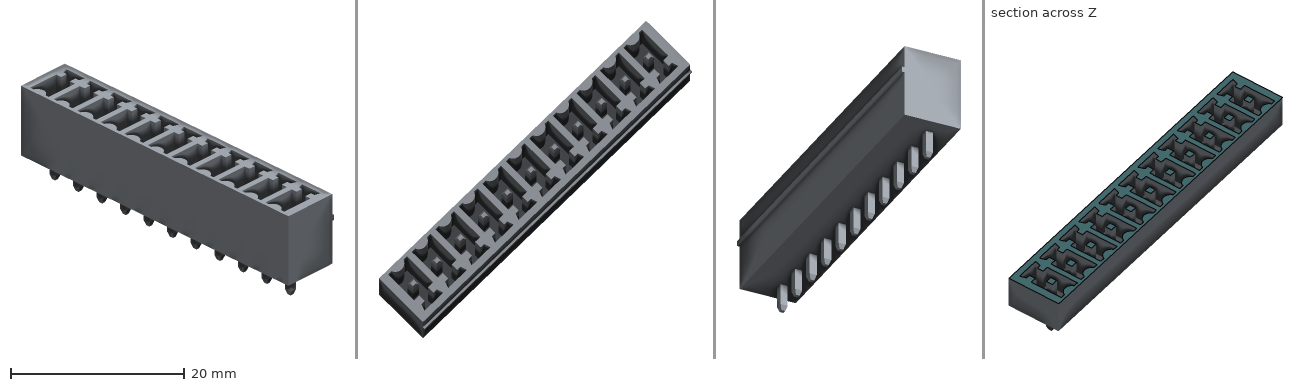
import cadquery as cq

length = 43.3
body_depth = 7.25
body_height = 9.25

rib_projection = 0.3
rib_height = 0.7
rib_drop = 2.85

contact_count = 11
pitch = 3.8
pin_y = 3.0
pin_width = 0.9
pin_tip_width = 0.48
pin_taper = 0.65
pin_below = 3.35
pin_top_drop = 1.4

floor_thickness = 1.5
cavity_width = 3.05
front_wall = 0.45
shoulder_y = 4.7
neck_width = 1.45
neck_end_y = 5.65
dovetail_width = 2.5
cavity_back_y = 6.4

key_radius = 1.05
key_crown_y = 1.1


def make_housing():
    body = cq.Workplane("XY").box(length, body_depth, body_height, centered=(True, False, False))
    rib = (
        cq.Workplane("XY")
        .box(length, rib_projection, rib_height, centered=(True, False, False))
        .translate((0, body_depth, body_height - rib_drop - rib_height))
    )
    return body.union(rib)


def make_cavity():
    """Keyhole-shaped plug cavity: wide chamber, narrow neck and dovetail slot, less the key."""
    half_profile = [
        (cavity_width / 2, front_wall),
        (cavity_width / 2, shoulder_y),
        (neck_width / 2, shoulder_y),
        (neck_width / 2, neck_end_y),
        (dovetail_width / 2, neck_end_y),
        (cavity_width / 2, cavity_back_y),
    ]
    mirrored_profile = [(-x, y) for x, y in reversed(half_profile)]
    cavity_depth = body_height - floor_thickness
    floor = cq.Workplane("XY").workplane(offset=floor_thickness)
    opening = floor.polyline(half_profile + mirrored_profile).close().extrude(cavity_depth)
    key = floor.center(0, key_crown_y - key_radius).circle(key_radius).extrude(cavity_depth)
    return opening.cut(key)


def make_pin():
    """Square contact pin with a tapered tip at both ends."""
    shank_bottom = pin_taper - pin_below
    shank_top = body_height - pin_top_drop - pin_taper

    def tip(start_z, taper_direction):
        return (
            cq.Workplane("XY", origin=(0, pin_y, start_z))
            .rect(pin_width, pin_width)
            .workplane(offset=taper_direction * pin_taper)
            .rect(pin_tip_width, pin_tip_width)
            .loft(ruled=True)
        )

    shank = (
        cq.Workplane("XY", origin=(0, pin_y, shank_bottom))
        .rect(pin_width, pin_width)
        .extrude(shank_top - shank_bottom)
    )
    return shank.union(tip(shank_bottom, -1)).union(tip(shank_top, 1))


contact_positions = [(i - (contact_count - 1) / 2) * pitch for i in range(contact_count)]
cavity = make_cavity()
pin = make_pin()

result = make_housing()
for x in contact_positions:
    result = result.cut(cavity.translate((x, 0, 0)))
    result = result.union(pin.translate((x, 0, 0)))